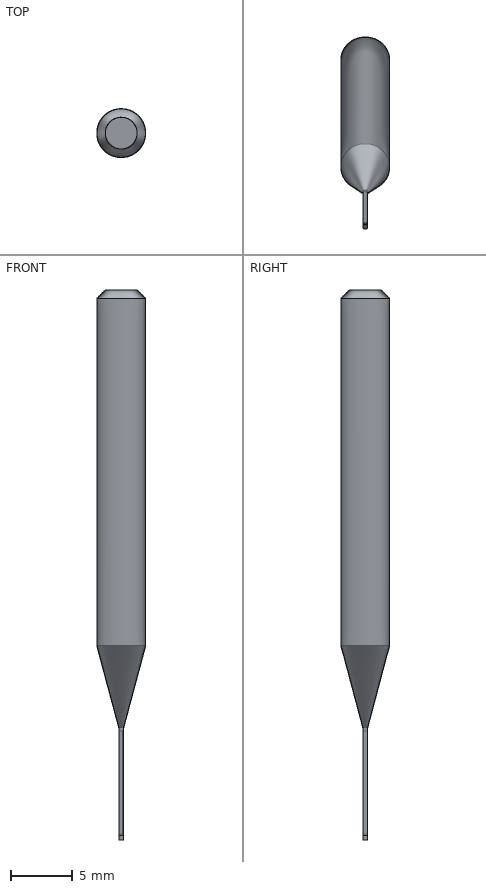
import cadquery as cq
import math

overall_length = 45.0
shank_diameter = 4.0
end_chamfer = 0.7

cutting_diameter = 0.4
cutting_length = 0.4

neck_diameter = 0.37
neck_start = 0.5
neck_end = 8.92

taper_half_angle = 15.0
shank_start = 15.92

shank_radius = shank_diameter / 2
cutting_radius = cutting_diameter / 2
neck_radius = neck_diameter / 2
taper_height = (shank_radius - cutting_radius) / math.tan(math.radians(taper_half_angle))
taper_start = shank_start - taper_height


def revolved_body(outline):
    """Turn a closed (radius, height) outline about the Z axis."""
    return cq.Workplane("XZ").polyline(outline).close().revolve(360, (0, 0, 0), (0, 1, 0))


cutting_tip = revolved_body(
    [
        (0, 0),
        (cutting_radius, 0),
        (cutting_radius, cutting_length),
        (0, cutting_length),
    ]
)

holder = revolved_body(
    [
        (0, cutting_length),
        (cutting_radius, cutting_length),
        (neck_radius, neck_start),
        (neck_radius, neck_end),
        (cutting_radius, taper_start),
        (shank_radius, shank_start),
        (shank_radius, overall_length - end_chamfer),
        (shank_radius - end_chamfer, overall_length),
        (0, overall_length),
    ]
)

result = cq.Compound.makeCompound([cutting_tip.val(), holder.val()])